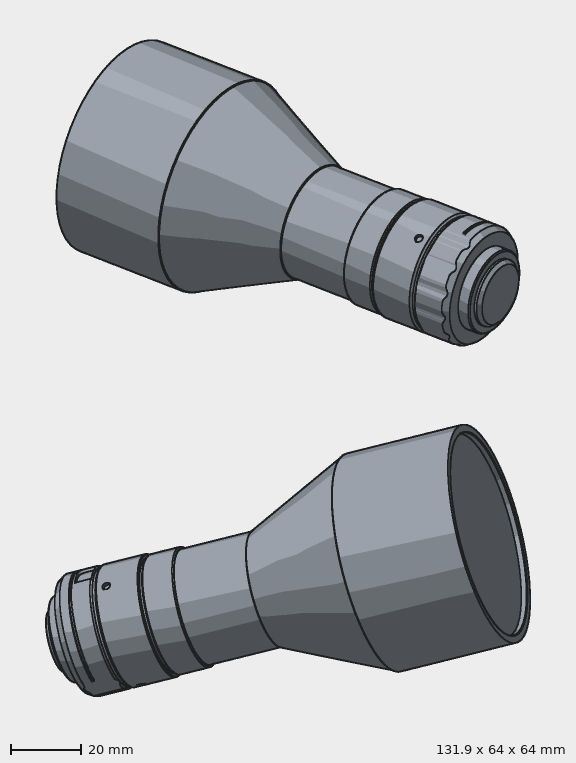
import cadquery as cq
import math

LENGTH = 131.9

SHELL_DIAMETER = 64.0
SHELL_RADIUS = SHELL_DIAMETER / 2
SHELL_END = 35.6
CONE_END = 67.7
EDGE_BREAK = 0.3
NECK_RADIUS = 17.0

BORE_RADIUS = 29.7
LENS_EDGE_DEPTH = 1.8
LENS_SAG = 0.9
LENS_EDGE_THICKNESS = 4.0

BAND_RADIUS = 17.7
BAND_START = 89.5
BAND_END = 99.3
BAND_CHAMFER = 0.4

COLLAR_RADIUS = 18.1
COLLAR_START = 100.1
COLLAR_END = 113.5
COLLAR_FRONT_CHAMFER = 0.3
SCREW_HOLE_RADIUS = 1.2
SCREW_HOLE_DEPTH = 1.0
SCREW_HOLE_X = 109.9
SCREW_HOLE_COUNT = 3
FIRST_SCREW_HOLE_ANGLE = 60.0

DRUM_RADIUS = 17.4
GRIP_START = 114.4
GRIP_END = 126.1
GRIP_RADIUS = COLLAR_RADIUS
GRIP_FRONT_CHAMFER = 0.5
GRIP_REAR_CHAMFER_LENGTH = 2.0
GRIP_REAR_CHAMFER_DEPTH = 1.2
FLUTE_RADIUS = 3.3
FLUTE_DEPTH = 0.5
FLUTE_COUNT = 7
FLUTE_PITCH_ANGLE = 25.0
GRIP_MIDDLE_ANGLE = -4.0

SLIT_START = 120.5
SLIT_WIDTH = 0.8
SLIT_HALF_ANGLE = 93.5
WINDOW_RADIUS = 2.5
WINDOW_X = 117.3
WINDOW_ARC_Y = 14.5
WINDOW_FLOOR_RADIUS = 17.1
WINDOW_FLOOR_Z = 4.6

MOUNT_RADIUS = 12.7
MOUNT_END = 129.9
MOUNT_CHAMFER = 0.4
TAIL_RADIUS = 10.2
TAIL_CHAMFER_START = 130.7
TAIL_END_RADIUS = 9.1


def revolve_profile(points):
    """Spin a closed (x, radius) outline about the X axis."""
    return cq.Workplane("XY").polyline(points).close().revolve(360, (0, 0, 0), (1, 0, 0))


def direction(angle):
    """Y and Z of a unit vector, with the angle measured from -Y toward +Z."""
    return -math.cos(math.radians(angle)), math.sin(math.radians(angle))


def tube(start, length, outer_radius, inner_radius):
    """Hollow cylinder along X."""
    return cq.Workplane("YZ", origin=(start, 0, 0)).circle(outer_radius).circle(inner_radius).extrude(length)


def make_barrel_core():
    """Turned barrel without the grip ring and without the front bore."""
    collar_rear_chamfer = COLLAR_RADIUS - DRUM_RADIUS
    return revolve_profile([
        (0, 0),
        (0, SHELL_RADIUS),
        (SHELL_END - EDGE_BREAK, SHELL_RADIUS),
        (SHELL_END, SHELL_RADIUS - EDGE_BREAK),
        (CONE_END - EDGE_BREAK, NECK_RADIUS + EDGE_BREAK),
        (CONE_END, NECK_RADIUS),
        (BAND_START, NECK_RADIUS),
        (BAND_START, BAND_RADIUS - BAND_CHAMFER),
        (BAND_START + BAND_CHAMFER, BAND_RADIUS),
        (BAND_END - BAND_CHAMFER, BAND_RADIUS),
        (BAND_END, BAND_RADIUS - BAND_CHAMFER),
        (BAND_END, NECK_RADIUS),
        (COLLAR_START, NECK_RADIUS),
        (COLLAR_START, COLLAR_RADIUS - COLLAR_FRONT_CHAMFER),
        (COLLAR_START + COLLAR_FRONT_CHAMFER, COLLAR_RADIUS),
        (COLLAR_END - collar_rear_chamfer, COLLAR_RADIUS),
        (COLLAR_END, DRUM_RADIUS),
        (GRIP_END - GRIP_REAR_CHAMFER_LENGTH, DRUM_RADIUS),
        (GRIP_END, GRIP_RADIUS - GRIP_REAR_CHAMFER_DEPTH),
        (GRIP_END, MOUNT_RADIUS),
        (MOUNT_END - MOUNT_CHAMFER, MOUNT_RADIUS),
        (MOUNT_END, MOUNT_RADIUS - MOUNT_CHAMFER),
        (MOUNT_END, TAIL_RADIUS),
        (TAIL_CHAMFER_START, TAIL_RADIUS),
        (LENGTH, TAIL_END_RADIUS),
        (LENGTH, 0),
    ])


def make_front_bore():
    """Flat-bottomed bore that seats the lens, with a broken front edge."""
    bore_depth = LENS_EDGE_DEPTH + LENS_EDGE_THICKNESS
    return revolve_profile([
        (0, 0),
        (0, BORE_RADIUS + EDGE_BREAK),
        (EDGE_BREAK, BORE_RADIUS),
        (bore_depth, BORE_RADIUS),
        (bore_depth, 0),
    ])


def make_screw_holes():
    """Blind radial holes spaced evenly around the collar."""
    holes = cq.Workplane("XY")
    for index in range(SCREW_HOLE_COUNT):
        y, z = direction(FIRST_SCREW_HOLE_ANGLE + index * 360 / SCREW_HOLE_COUNT)
        floor_radius = COLLAR_RADIUS - SCREW_HOLE_DEPTH
        floor_centre = cq.Vector(SCREW_HOLE_X, floor_radius * y, floor_radius * z)
        holes = holes.add(
            cq.Solid.makeCylinder(SCREW_HOLE_RADIUS, 2 * SCREW_HOLE_DEPTH, floor_centre, cq.Vector(0, y, z))
        )
    return holes.combine()


def make_fluted_tube():
    """Thick ring with shallow concave flutes, each blended into the rim by a matching convex round."""
    length = GRIP_END - GRIP_START
    ring = tube(GRIP_START, length, GRIP_RADIUS, MOUNT_RADIUS)
    cutter_distance = GRIP_RADIUS - FLUTE_DEPTH + FLUTE_RADIUS
    crossing_cosine = (
        (GRIP_RADIUS**2 + cutter_distance**2 - FLUTE_RADIUS**2) / (2 * GRIP_RADIUS * cutter_distance)
    )
    crossing_angle = math.degrees(math.acos(crossing_cosine))
    rim_points = []
    for index in range(FLUTE_COUNT):
        angle = GRIP_MIDDLE_ANGLE + (index - (FLUTE_COUNT - 1) / 2) * FLUTE_PITCH_ANGLE
        y, z = direction(angle)
        cutter = (
            cq.Workplane("YZ", origin=(GRIP_START, 0, 0))
            .center(cutter_distance * y, cutter_distance * z)
            .circle(FLUTE_RADIUS)
            .extrude(length)
        )
        ring = ring.cut(cutter)
        for rim_angle in (angle - crossing_angle, angle + crossing_angle):
            rim_y, rim_z = direction(rim_angle)
            rim_points.append((GRIP_START + length / 2, GRIP_RADIUS * rim_y, GRIP_RADIUS * rim_z))
    rim_edges = cq.Workplane("XY")
    for point in rim_points:
        rim_edges = rim_edges.add(ring.edges(cq.NearestToPointSelector(point)).vals())
    return cq.Workplane(ring.val().fillet(FLUTE_RADIUS, rim_edges.vals()))


def make_grip_envelope():
    """Turned outline of the grip ring with its end chamfers."""
    return revolve_profile([
        (GRIP_START, 0),
        (GRIP_START, GRIP_RADIUS - GRIP_FRONT_CHAMFER),
        (GRIP_START + GRIP_FRONT_CHAMFER, GRIP_RADIUS),
        (GRIP_END - GRIP_REAR_CHAMFER_LENGTH, GRIP_RADIUS),
        (GRIP_END, GRIP_RADIUS - GRIP_REAR_CHAMFER_DEPTH),
        (GRIP_END, 0),
    ])


def make_slit():
    """Narrow slit around the smooth side of the grip ring, down to the drum."""
    cut_height = 2 * (GRIP_RADIUS - DRUM_RADIUS)
    sector = (
        cq.Workplane("XY")
        .moveTo(SLIT_START, DRUM_RADIUS)
        .rect(SLIT_WIDTH, cut_height, centered=(False, False))
        .revolve(2 * SLIT_HALF_ANGLE, (0, 0, 0), (1, 0, 0))
    )
    return sector.rotate((0, 0, 0), (1, 0, 0), -GRIP_MIDDLE_ANGLE - SLIT_HALF_ANGLE)


def make_window():
    """Round-ended window milled down along Z, exposing the drum."""
    cutter = (
        cq.Workplane("XY", origin=(0, 0, WINDOW_FLOOR_Z))
        .moveTo(WINDOW_X - WINDOW_RADIUS, GRIP_RADIUS)
        .lineTo(WINDOW_X - WINDOW_RADIUS, WINDOW_ARC_Y)
        .threePointArc(
            (WINDOW_X, WINDOW_ARC_Y - WINDOW_RADIUS),
            (WINDOW_X + WINDOW_RADIUS, WINDOW_ARC_Y),
        )
        .lineTo(WINDOW_X + WINDOW_RADIUS, GRIP_RADIUS)
        .close()
        .extrude(GRIP_RADIUS)
    )
    return cutter.cut(cq.Workplane("YZ").circle(WINDOW_FLOOR_RADIUS).extrude(LENGTH))


def make_barrel():
    """One-piece barrel with its grip ring."""
    grip = make_fluted_tube().intersect(make_grip_envelope())
    barrel = make_barrel_core().union(grip)
    return barrel.cut(make_slit()).cut(make_window()).cut(make_screw_holes()).cut(make_front_bore())


def make_lens():
    """Plano-convex lens filling the front bore, its domed face toward -X."""
    back = LENS_EDGE_DEPTH + LENS_EDGE_THICKNESS
    apex = LENS_EDGE_DEPTH - LENS_SAG
    dome_radius = (BORE_RADIUS**2 + LENS_SAG**2) / (2 * LENS_SAG)
    half_height = BORE_RADIUS / 2
    half_x = apex + dome_radius - math.sqrt(dome_radius**2 - half_height**2)
    return (
        cq.Workplane("XY")
        .moveTo(apex, 0)
        .threePointArc((half_x, half_height), (LENS_EDGE_DEPTH, BORE_RADIUS))
        .lineTo(back, BORE_RADIUS)
        .lineTo(back, 0)
        .close()
        .revolve(360, (0, 0, 0), (1, 0, 0))
    )


barrel = make_barrel()
lens = make_lens()
result = cq.Compound.makeCompound([barrel.val(), lens.val()])